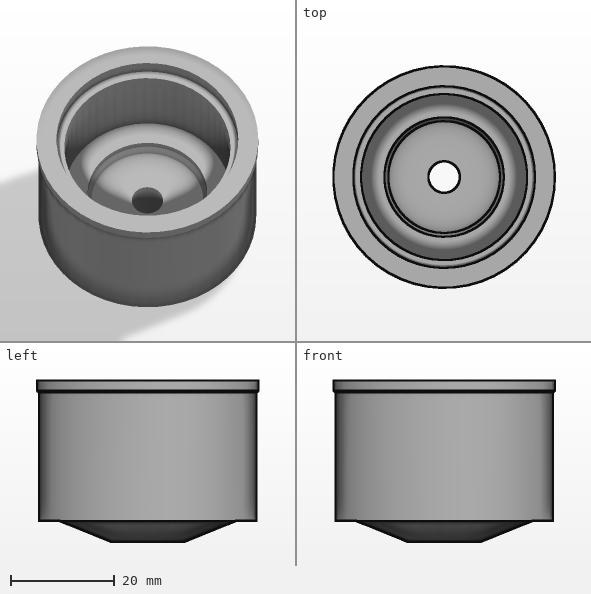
import cadquery as cq
import math

total_height = 31.1
nose_height = 4.0
rim_height = 1.95

rim_diameter = 42.7
body_diameter = 41.95
nose_top_diameter = 34.0
nose_bottom_diameter = 14.1

recess_diameter = 35.0
recess_depth = 3.0
bore_diameter = 32.0
bore_depth = 19.0
pocket_top_diameter = 23.0
pocket_bottom_diameter = 21.5
pocket_wall_height = 1.3
pocket_bevel_angle = 60
hole_diameter = 6.0

rim_bevel = (rim_diameter - body_diameter) / 2
rim_bottom = total_height - rim_height
bevel_bottom = rim_bottom - rim_bevel

recess_floor = total_height - recess_depth
bore_floor = total_height - bore_depth
pocket_bevel_width = (pocket_top_diameter - pocket_bottom_diameter) / 2
pocket_bevel_height = pocket_bevel_width * math.tan(math.radians(pocket_bevel_angle))
pocket_wall_bottom = bore_floor - pocket_wall_height
pocket_floor = pocket_wall_bottom - pocket_bevel_height


def revolve_outline(points):
    """Turn (diameter, height) pairs into a solid of revolution about Z."""
    outline = [(diameter / 2, height) for diameter, height in points]
    return cq.Workplane("XZ").polyline(outline).close().revolve(360, (0, 0, 0), (0, 1, 0))


outer_body = revolve_outline([
    (0, 0),
    (nose_bottom_diameter, 0),
    (nose_top_diameter, nose_height),
    (body_diameter, nose_height),
    (body_diameter, bevel_bottom),
    (rim_diameter, rim_bottom),
    (rim_diameter, total_height),
    (0, total_height),
])

cavity = revolve_outline([
    (0, 0),
    (hole_diameter, 0),
    (hole_diameter, pocket_floor),
    (pocket_bottom_diameter, pocket_floor),
    (pocket_top_diameter, pocket_wall_bottom),
    (pocket_top_diameter, bore_floor),
    (bore_diameter, bore_floor),
    (bore_diameter, recess_floor),
    (recess_diameter, recess_floor),
    (recess_diameter, total_height),
    (0, total_height),
])

result = outer_body.cut(cavity)